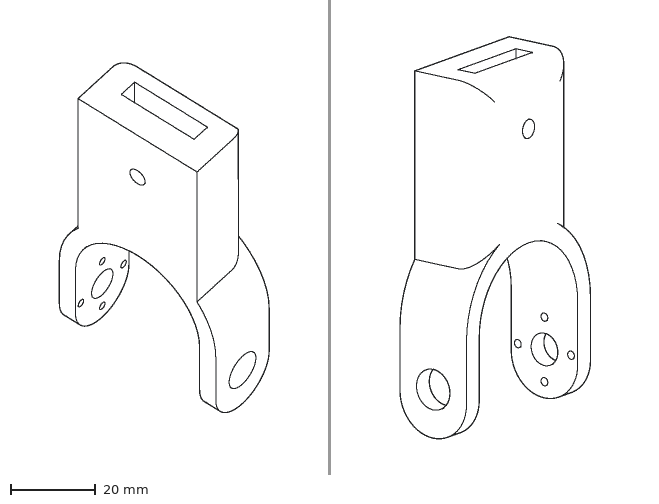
import cadquery as cq

height = 87.5
depth = 20.0
fork_width = 48.0
leg_thickness = 5.0
outer_radius = fork_width / 2
inner_radius = outer_radius - leg_thickness
arch_center_z = 25.5
tip_radius = depth / 2

block_width = 36.5
block_edge_radius = 7.0
slot_width = 22.3
slot_thickness = 5.0
slot_front_y = 7.5
slot_depth = 30.0
cross_hole_diameter = 4.6
cross_hole_drop = 15.0

pivot_z = 12.0
left_pivot_diameter = 8.0
right_pivot_diameter = 10.0
screw_hole_diameter = 2.0
screw_hole_offset = 8.0


def arch_solid(radius):
    """Round-topped slab running from Z = 0 to the crown of the arch."""
    return (
        cq.Workplane("XZ")
        .moveTo(-radius, 0)
        .lineTo(-radius, arch_center_z)
        .threePointArc((0, arch_center_z + radius), (radius, arch_center_z))
        .lineTo(radius, 0)
        .close()
        .extrude(-depth)
    )


def upper_block():
    """Block rising from the arch, rounded along its rear top and side edges."""
    block = cq.Workplane("XY").box(
        block_width, depth, height - arch_center_z, centered=(True, False, False)
    ).translate((0, 0, arch_center_z))
    block = block.edges("(>Y and |Z) or (>Y and >Z)").fillet(block_edge_radius)
    return block


def leg_side_profile():
    """Side outline of the part with rounded leg tips, as a slab across X."""
    return (
        cq.Workplane("YZ", origin=(-outer_radius, 0, 0))
        .moveTo(0, tip_radius)
        .threePointArc((tip_radius, 0), (depth, tip_radius))
        .lineTo(depth, height)
        .lineTo(0, height)
        .close()
        .extrude(fork_width)
    )


def leg_hole(leg_x, diameter, y_offset=0, z_offset=0):
    """Cutter through one leg, placed relative to the pivot axis."""
    return (
        cq.Workplane("YZ", origin=(leg_x, depth / 2 + y_offset, pivot_z + z_offset))
        .circle(diameter / 2)
        .extrude(leg_thickness)
    )


body = arch_solid(outer_radius).union(upper_block())
body = body.cut(arch_solid(inner_radius)).intersect(leg_side_profile())

slot = cq.Workplane("XY").box(
    slot_width, slot_thickness, slot_depth, centered=(True, False, False)
).translate((0, slot_front_y, height - slot_depth))
body = body.cut(slot)

cross_hole = (
    cq.Workplane("XZ")
    .center(0, height - cross_hole_drop)
    .circle(cross_hole_diameter / 2)
    .extrude(-depth)
)
body = body.cut(cross_hole)

body = body.cut(leg_hole(-outer_radius, left_pivot_diameter))
body = body.cut(leg_hole(inner_radius, right_pivot_diameter))
for y_step, z_step in [(1, 0), (0, 1), (-1, 0), (0, -1)]:
    screw_hole = leg_hole(
        -outer_radius,
        screw_hole_diameter,
        y_step * screw_hole_offset,
        z_step * screw_hole_offset,
    )
    body = body.cut(screw_hole)

result = body